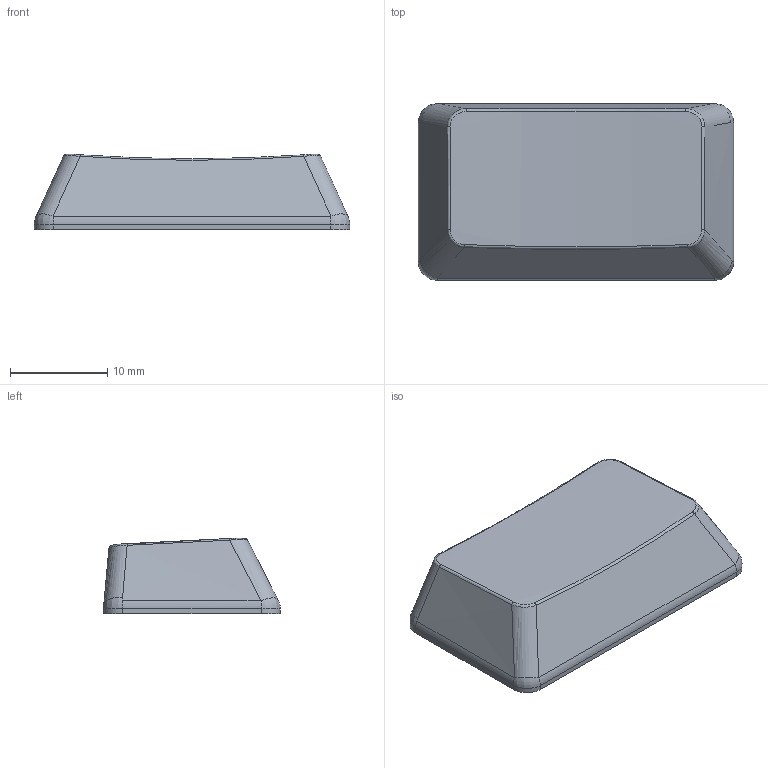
import cadquery as cq
import math

LENGTH = 32.45
WIDTH = 18.16

SKIRT_HEIGHT = 0.98

TOP_TILT = 2.9

FRONT_RIM_HEIGHT = 8.2
SIDE_LEAN = 3.24
FRONT_LEAN = 3.70
BACK_LEAN = 0.605
FRONT_RIM_Y = FRONT_LEAN - WIDTH / 2
BACK_RIM_Y = WIDTH / 2 - BACK_LEAN
BACK_RIM_HEIGHT = FRONT_RIM_HEIGHT - (BACK_RIM_Y - FRONT_RIM_Y) * math.tan(math.radians(TOP_TILT))

CORNER_RADIUS = 1.95
TOP_EDGE_RADIUS = 0.3

DISH_RADIUS = 160.0
DISH_FRONT_HEIGHT = 7.3

MARGIN = 0.1


def rectangle_corners(half_length, front_y, back_y):
    """Corners in order: front left, front right, back right, back left."""
    return [(-half_length, front_y), (half_length, front_y), (half_length, back_y), (-half_length, back_y)]


def make_skirt():
    return cq.Workplane("XY").rect(LENGTH, WIDTH).extrude(SKIRT_HEIGHT)


def make_walls():
    """Block on the skirt, tapering up to a rectangle that tips down toward the back."""
    base = cq.Wire.makePolygon(
        [(x, y, SKIRT_HEIGHT) for x, y in rectangle_corners(LENGTH / 2, -WIDTH / 2, WIDTH / 2)],
        close=True,
    )
    heights = (FRONT_RIM_HEIGHT, FRONT_RIM_HEIGHT, BACK_RIM_HEIGHT, BACK_RIM_HEIGHT)
    corners = rectangle_corners(LENGTH / 2 - SIDE_LEAN, FRONT_RIM_Y, BACK_RIM_Y)
    rim = cq.Wire.makePolygon(
        [(x, y, height) for (x, y), height in zip(corners, heights)],
        close=True,
    )
    return cq.Workplane(cq.Solid.makeLoft([base, rim], True))


def make_dish_cutter():
    """Long cylinder that touches the top centre line, tipped about the front rim."""
    pivot = (0, FRONT_RIM_Y, DISH_FRONT_HEIGHT)
    pivot_axis_end = (1, FRONT_RIM_Y, DISH_FRONT_HEIGHT)
    return (
        cq.Workplane("XZ", origin=pivot)
        .center(0, DISH_RADIUS)
        .circle(DISH_RADIUS)
        .extrude(2 * WIDTH, both=True)
        .rotate(pivot, pivot_axis_end, -TOP_TILT)
    )


def round_walls(block):
    """Round the upright corners, the sloping corners and the bend between skirt and walls."""
    lowest_rim = BACK_RIM_HEIGHT - MARGIN
    wall_edges = cq.selectors.BoxSelector((-LENGTH, -WIDTH, MARGIN), (LENGTH, WIDTH, lowest_rim))
    return block.edges(wall_edges).fillet(CORNER_RADIUS)


def round_top_rim(body):
    dish_face = cq.selectors.NearestToPointSelector((0, 0, DISH_FRONT_HEIGHT))
    return body.faces(dish_face).edges().fillet(TOP_EDGE_RADIUS)


block = make_skirt().union(make_walls())
dished = round_walls(block).cut(make_dish_cutter())
result = round_top_rim(dished)